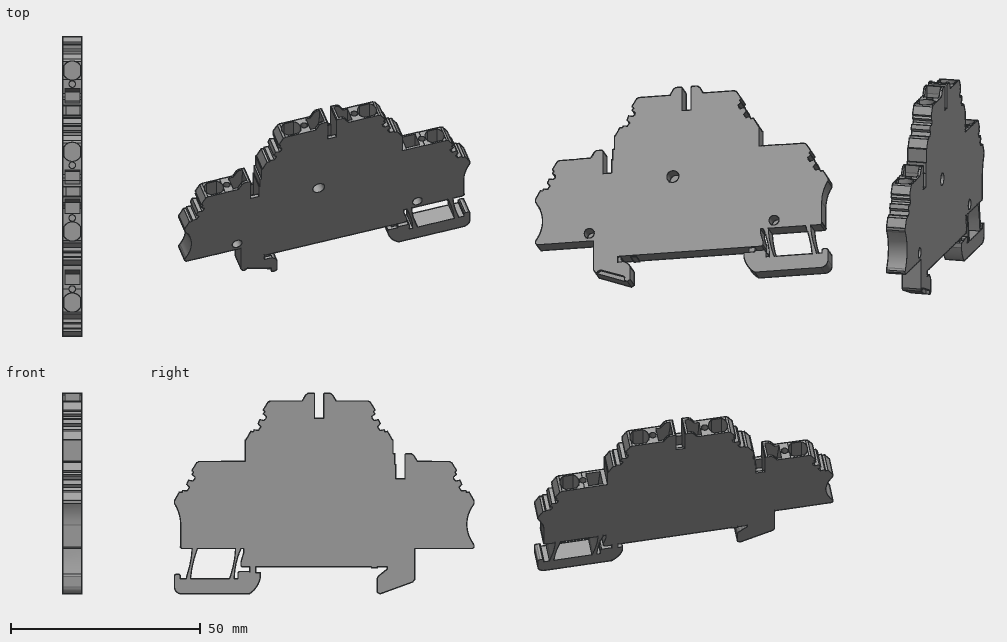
import cadquery as cq

WIDTH = 5.1
SIDE_X = -WIDTH / 2
HALF_LENGTH = 39.5
HEIGHT = 53.0

LEDGE_DROP = 16.0
UPPER_LEDGE_Z = 50.9
LOWER_LEDGE_Z = UPPER_LEDGE_Z - LEDGE_DROP
LEDGE_STEP = 0.1
PLUS_Y_STEP = 28.2
MINUS_Y_STEP = -27.0
UPPER_CENTRE_Y = -1.35
UPPER_TIP = 14.8
LOWER_TIP = 34.95
SHOULDER_DROP = 10.35
UPPER_HALF_LENGTH = UPPER_TIP + 4.75

WING_Z = 11.9
BASE_Z = 7.1
FOOT_GROOVE_Z = 4.0

SLOT_HALF = 1.2
SLOT_DEPTH = 6.6
LOWER_SLOT_Y = 20.1
LOWER_HOOK_TOP_Z = HEIGHT - LEDGE_DROP
SLOT_WALL_STEP = 0.2
SLOT_WALL_STEP_Z = 34.15
SLOT_POCKET_DEPTH = 3.95
SLOT_POCKET_MIN_X = -1.65
POCKET_MIN_X = -1.9
POCKET_MAX_X = 2.05

UPPER_BORE_OFFSET = 10.5
LOWER_BORE_OFFSET = 30.6
BORE_RADIUS = 2.5
BORE_HALF_WIDTH = 2.1
BORE_DEPTH = 11.1
TEST_HOLE_OFFSET = 3.55
TEST_HOLE_RADIUS = 0.9
TEST_HOLE_DEPTH = 4.75
POCKET_START = 4.75
POCKET_END = 8.5
POCKET_DEPTH = 9.5
CLAMP_HEIGHT = 3.2

SIDE_HOLE_DEPTH = 3.95
SIDE_HOLES = [(2.4, 28.2, 3.25), (25.0, 14.1, 2.7), (-25.0, 14.1, 2.7)]
WEB_INSET = 0.8
NOTCH_DEPTH = 0.95

TEETH = [
    (-1.9, 0), (-1.3, 0.3), (0, 2.4), (-0.5, 2.85), (0, 3.4), (-0.9, 4.1), (-0.7, 4.7),
    (-0.2, 5.1), (0.9, 4.9), (1.35, 6.0), (0.6, 6.8), (1.3, 7.75), (2.4, 7.6), (2.6, 8.15),
    (3.25, 8.0), (4.5, 10.2),
]

HOOK = [(4.5, HEIGHT - UPPER_LEDGE_Z), (3.55, 0.5), (2.9, 0), (SLOT_HALF + 0.2, 0), (SLOT_HALF, 0.2)]

TERMINALS = [
    (LOWER_BORE_OFFSET, -1, LOWER_LEDGE_Z, 0.95, 0.55),
    (UPPER_CENTRE_Y + UPPER_BORE_OFFSET, -1, UPPER_LEDGE_Z, 0.5, 0.95),
    (UPPER_CENTRE_Y - UPPER_BORE_OFFSET, 1, UPPER_LEDGE_Z, 0, 0.95),
    (-LOWER_BORE_OFFSET, 1, LOWER_LEDGE_Z, 0, 0.95),
]


def teeth(centre_y, side, tip, ledge_z):
    """Tooth points from the ledge outward; side is +1 towards +Y and -1 towards -Y."""
    return [(centre_y + side * (tip + out), ledge_z - drop) for out, drop in TEETH]


def hook(slot_y, side, top_z):
    """Hook points from its foot on the ledge to the slot wall."""
    return [(slot_y + side * out, top_z - drop) for out, drop in HOOK]


def add_lines(outline, points):
    for point in points:
        outline = outline.lineTo(*point)
    return outline


def housing_outline():
    """Closed (Y, Z) outline, from the +Y wing over the top to the -Y wing and back underneath."""
    lower_slot_floor = LOWER_HOOK_TOP_Z - SLOT_DEPTH
    upper_slot_floor = HEIGHT - SLOT_DEPTH
    raised_ledge_z = LOWER_LEDGE_Z + LEDGE_STEP
    slot_wall_y = LOWER_SLOT_Y - SLOT_HALF
    upper_plus_y = UPPER_CENTRE_Y + UPPER_HALF_LENGTH
    upper_minus_y = UPPER_CENTRE_Y - UPPER_HALF_LENGTH

    outline = cq.Workplane("YZ", origin=(SIDE_X, 0, 0)).moveTo(39.1, WING_Z)
    outline = add_lines(outline, [(HALF_LENGTH, 12.4), (HALF_LENGTH, 12.9), (39.2, 13.45)])
    outline = outline.threePointArc((37.6, 18.3), (39.3, 23.4))
    outline = add_lines(outline, [(HALF_LENGTH, 23.9), (HALF_LENGTH, LOWER_LEDGE_Z - SHOULDER_DROP)])
    outline = add_lines(outline, reversed(teeth(0, 1, LOWER_TIP, LOWER_LEDGE_Z)))
    outline = add_lines(outline, [(PLUS_Y_STEP, LOWER_LEDGE_Z), (PLUS_Y_STEP, raised_ledge_z)])
    outline = add_lines(outline, [(LOWER_SLOT_Y + HOOK[0][0], raised_ledge_z)])
    outline = add_lines(outline, hook(LOWER_SLOT_Y, 1, LOWER_HOOK_TOP_Z)[1:])
    outline = add_lines(outline, [
        (LOWER_SLOT_Y + SLOT_HALF, lower_slot_floor),
        (slot_wall_y, lower_slot_floor),
        (slot_wall_y, SLOT_WALL_STEP_Z),
        (slot_wall_y - SLOT_WALL_STEP, SLOT_WALL_STEP_Z),
        (slot_wall_y - SLOT_WALL_STEP, LOWER_HOOK_TOP_Z),
        (upper_plus_y, LOWER_HOOK_TOP_Z),
        (upper_plus_y, UPPER_LEDGE_Z - SHOULDER_DROP),
    ])
    outline = add_lines(outline, reversed(teeth(UPPER_CENTRE_Y, 1, UPPER_TIP, UPPER_LEDGE_Z)))
    outline = add_lines(outline, hook(UPPER_CENTRE_Y, 1, HEIGHT))
    outline = add_lines(outline, [
        (UPPER_CENTRE_Y + SLOT_HALF, upper_slot_floor),
        (UPPER_CENTRE_Y - SLOT_HALF, upper_slot_floor),
    ])
    outline = add_lines(outline, reversed(hook(UPPER_CENTRE_Y, -1, HEIGHT)))
    outline = add_lines(outline, teeth(UPPER_CENTRE_Y, -1, UPPER_TIP, UPPER_LEDGE_Z))
    outline = add_lines(outline, [
        (upper_minus_y, UPPER_LEDGE_Z - SHOULDER_DROP),
        (upper_minus_y, raised_ledge_z),
        (MINUS_Y_STEP, raised_ledge_z),
        (MINUS_Y_STEP, LOWER_LEDGE_Z),
    ])
    outline = add_lines(outline, teeth(0, -1, LOWER_TIP, LOWER_LEDGE_Z))
    outline = add_lines(outline, [(-HALF_LENGTH, LOWER_LEDGE_Z - SHOULDER_DROP), (-HALF_LENGTH, 23.9)])
    outline = outline.threePointArc((-38.3, 21.0), (-37.9, 18.2))
    outline = add_lines(outline, [(-37.9, 12.4), (-38.0, 12.4), (-37.55, WING_Z)])
    outline = latch_foot(outline)
    return hook_foot(outline).close()


def latch_foot(outline):
    """Springy foot on two curved legs at the -Y end."""
    outline = outline.lineTo(-34.9, WING_Z).threePointArc((-35.35, 8.2), (-36.1, 5.2))
    outline = add_lines(outline, [
        (-36.45, FOOT_GROOVE_Z), (-37.95, FOOT_GROOVE_Z), (-37.95, 4.9), (-38.3, 5.2), (-39.0, 5.2),
    ])
    outline = outline.threePointArc((-39.4, 5.05), (-HALF_LENGTH, 4.7)).lineTo(-HALF_LENGTH, 1.9)
    outline = outline.threePointArc((-39.0, 0.55), (-37.6, 0)).lineTo(-19.8, 0)
    outline = outline.threePointArc((-17.8, 2.0), (-16.85, 4.35))
    outline = add_lines(outline, [
        (-16.85, 5.6), (-19.45, 5.6), (-19.8, 5.9), (-22.45, 5.9), (-22.8, 5.6),
        (-22.8, FOOT_GROOVE_Z), (-23.7, FOOT_GROOVE_Z),
    ])
    outline = outline.threePointArc((-23.3, 7.75), (-22.0, WING_Z))
    return add_lines(outline, [
        (-21.3, WING_Z), (-21.3, 10.9), (-22.0, 8.45), (-22.0, 7.4), (-21.7, BASE_Z),
    ])


def hook_foot(outline):
    """Rigid hooked foot at the +Y end."""
    outline = add_lines(outline, [(17.4, BASE_Z), (17.4, 5.5), (15.25, 5.5), (14.5, 4.8)])
    outline = outline.threePointArc((14.1, 4.35), (13.9, 3.8))
    return add_lines(outline, [(13.9, 0.5), (14.7, 0), (23.4, 3.2), (23.9, 3.9), (23.9, WING_Z)])


def prism(points, start_x, end_x):
    """Closed (Y, Z) polygon extruded along X."""
    return cq.Workplane("YZ", origin=(start_x, 0, 0)).polyline(points).close().extrude(end_x - start_x)


def leg_window():
    """Opening between the two legs of the latch foot."""
    window = cq.Workplane("YZ", origin=(SIDE_X, 0, 0)).moveTo(-23.4, WING_Z)
    window = window.threePointArc((-23.9, 8.1), (-24.8, 4.5))
    window = window.lineTo(-25.1, FOOT_GROOVE_Z).lineTo(-35.3, FOOT_GROOVE_Z)
    window = window.threePointArc((-34.6, 8.1), (-33.45, WING_Z)).close()
    return window.extrude(WIDTH)


def bore_cylinder(bore_y, top_z, height):
    """Round bar with two flat sides, hanging down from top_z."""
    bottom = cq.Workplane("XY", origin=(0, bore_y, top_z - height))
    flats = bottom.rect(2 * BORE_HALF_WIDTH, 2 * BORE_RADIUS).extrude(height)
    return bottom.circle(BORE_RADIUS).extrude(height).intersect(flats)


def test_hole(bore_y, inward, ledge_z):
    hole_y = bore_y + inward * TEST_HOLE_OFFSET
    floor = cq.Workplane("XY", origin=(0, hole_y, ledge_z - TEST_HOLE_DEPTH))
    return floor.circle(TEST_HOLE_RADIUS).extrude(TEST_HOLE_DEPTH + LEDGE_STEP)


def release_pocket(bore_y, inward, ledge_z, outer_taper, inner_taper):
    """Tool pocket that tapers below the ledge and is open above it."""
    start_y = bore_y + inward * POCKET_START
    end_y = bore_y + inward * POCKET_END
    floor_z = ledge_z - POCKET_DEPTH
    points = [
        (start_y, HEIGHT), (start_y, ledge_z), (start_y + inward * outer_taper, floor_z),
        (end_y - inward * inner_taper, floor_z), (end_y, ledge_z), (end_y, HEIGHT),
    ]
    return prism(points, POCKET_MIN_X, POCKET_MAX_X)


def slot_pocket(slot_y, hook_top_z):
    """Deeper recess in the floor of a bridge slot."""
    floor_z = hook_top_z - SLOT_DEPTH
    length_x = POCKET_MAX_X - SLOT_POCKET_MIN_X
    recess = cq.Workplane("XY", origin=(SLOT_POCKET_MIN_X + length_x / 2, slot_y, floor_z))
    return recess.rect(length_x, 2 * SLOT_HALF).extrude(-SLOT_POCKET_DEPTH)


def side_hole(y, z, diameter):
    return cq.Workplane("YZ", origin=(SIDE_X, y, z)).circle(diameter / 2).extrude(SIDE_HOLE_DEPTH)


def foot_webs():
    """Set-back webs where the feet meet the base, and a low pad on the base."""
    outlines = [
        [(17.4, BASE_Z), (16.6, BASE_Z), (16.6, 6.6), (15.25, 5.5), (17.4, 5.5)],
        [(-18.0, BASE_Z), (-19.7, BASE_Z), (-19.7, 5.5), (-18.0, 5.5)],
        [(14.0, BASE_Z), (12.4, BASE_Z), (12.4, 6.9), (14.0, 6.9)],
    ]
    return [prism(points, SIDE_X + WEB_INSET, WIDTH / 2) for points in outlines]


def foot_notch():
    """Shallow notch along the sloping underside of the hooked foot."""
    points = [(22.8, 2.9), (22.8, 3.25), (22.0, 3.7), (15.8, 1.6), (15.4, 1.3), (15.4, 0), (22.8, 0)]
    return prism(points, SIDE_X, SIDE_X + NOTCH_DEPTH)


def make_housing():
    body = housing_outline().extrude(WIDTH).cut(leg_window())
    for web in foot_webs():
        body = body.union(web)
    for bore_y, inward, ledge_z, outer_taper, inner_taper in TERMINALS:
        body = body.cut(bore_cylinder(bore_y, ledge_z + LEDGE_STEP, BORE_DEPTH + LEDGE_STEP))
        body = body.cut(test_hole(bore_y, inward, ledge_z))
        body = body.cut(release_pocket(bore_y, inward, ledge_z, outer_taper, inner_taper))
    body = body.cut(slot_pocket(LOWER_SLOT_Y, LOWER_HOOK_TOP_Z))
    body = body.cut(slot_pocket(UPPER_CENTRE_Y, HEIGHT))
    for y, z, diameter in SIDE_HOLES:
        body = body.cut(side_hole(y, z, diameter))
    return body.cut(foot_notch())


def make_clamp(bore_y, ledge_z):
    """Clamp that fills the bottom of one wire bore."""
    return bore_cylinder(bore_y, ledge_z - BORE_DEPTH + CLAMP_HEIGHT, CLAMP_HEIGHT)


housing = make_housing()
clamps = [make_clamp(bore_y, ledge_z) for bore_y, _, ledge_z, *_ in TERMINALS]

result = cq.Compound.makeCompound([housing.val(), *[clamp.val() for clamp in clamps]])